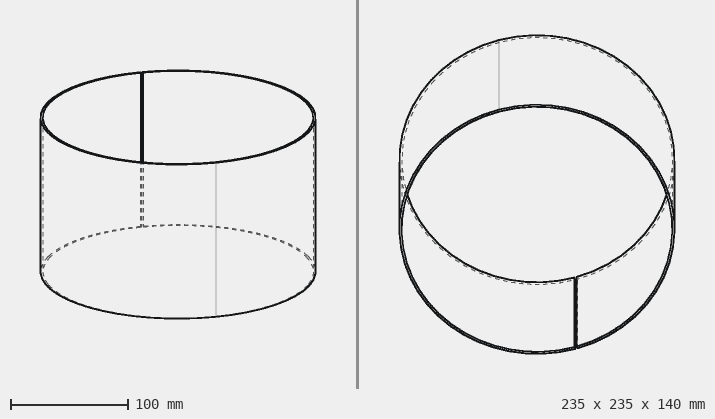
import cadquery as cq

outer_diameter = 235.0
wall_thickness = 2.0
height = 140.0
seam_width = 2.0

outer_radius = outer_diameter / 2
inner_radius = outer_radius - wall_thickness

sleeve = (
    cq.Workplane("XY")
    .circle(outer_radius)
    .circle(inner_radius)
    .extrude(height)
)

cutter_depth = 4 * wall_thickness
seam = (
    cq.Workplane("XY")
    .center(-outer_radius, seam_width / 2)
    .rect(cutter_depth, seam_width)
    .extrude(height)
)

result = sleeve.cut(seam)